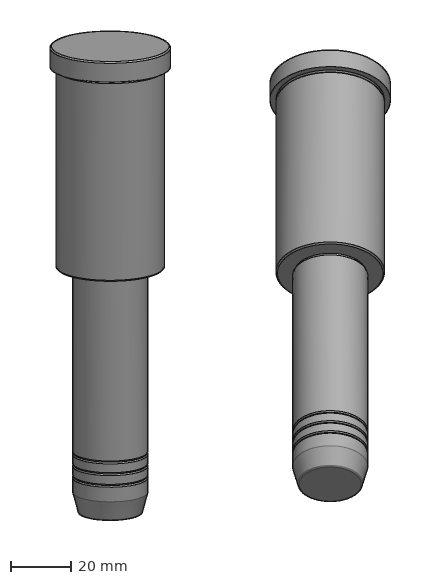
import cadquery as cq
import math

total_length = 160.0

head_diameter = 40.0
head_height = 7.0
head_chamfer = 0.5

body_diameter = 36.0
body_bottom_z = 84.0
body_chamfer = 0.5
body_relief_width = 1.0
body_relief_depth = 0.5

shaft_diameter = 25.0
shaft_relief_width = 1.0
shaft_relief_depth = 0.5

groove_count = 3
first_groove_z = 12.5
groove_pitch = 4.0
groove_width = 1.0
groove_depth = 0.3

lead_length = 7.0
lead_angle = 15.0
tip_fillet = 0.5


def cylinder(diameter, bottom_z, top_z):
    """Solid cylinder on the Z axis between two heights."""
    return cq.Workplane("XY").workplane(offset=bottom_z).circle(diameter / 2).extrude(top_z - bottom_z)


def ring_groove(diameter, depth, bottom_z, width):
    """Ring that cuts a square groove into a cylinder of the given diameter."""
    outer = cylinder(diameter + 2 * depth, bottom_z, bottom_z + width)
    core = cylinder(diameter - 2 * depth, bottom_z, bottom_z + width)
    return outer.cut(core)


def vee_groove(diameter, middle_z, width, depth):
    """Ring that cuts a V groove into a cylinder of the given diameter."""
    surface_radius = diameter / 2
    return (
        cq.Workplane("XZ")
        .moveTo(surface_radius - depth, middle_z)
        .lineTo(surface_radius, middle_z + width / 2)
        .lineTo(surface_radius + depth, middle_z + width / 2)
        .lineTo(surface_radius + depth, middle_z - width / 2)
        .lineTo(surface_radius, middle_z - width / 2)
        .close()
        .revolve(360, (0, 0), (0, 1))
    )


def make_head():
    head = cylinder(head_diameter, total_length - head_height, total_length)
    return head.faces(">Z").chamfer(head_chamfer)


def make_body():
    head_bottom_z = total_length - head_height
    relief_middle_z = head_bottom_z - body_relief_width / 2
    body = cylinder(body_diameter, body_bottom_z, head_bottom_z)
    body = body.faces("<Z").chamfer(body_chamfer)
    return body.cut(vee_groove(body_diameter, relief_middle_z, body_relief_width, body_relief_depth))


def make_lead():
    """Truncated cone narrowing to the tip, with its lower edge rounded."""
    shaft_radius = shaft_diameter / 2
    tip_radius = shaft_radius - lead_length * math.tan(math.radians(lead_angle))
    lead = (
        cq.Workplane("XZ")
        .lineTo(tip_radius, 0)
        .lineTo(shaft_radius, lead_length)
        .lineTo(0, lead_length)
        .close()
        .revolve(360, (0, 0), (0, 1))
    )
    return lead.faces("<Z").fillet(tip_fillet)


def make_shaft():
    shaft = cylinder(shaft_diameter, lead_length, body_bottom_z)
    relief_bottom_z = body_bottom_z - shaft_relief_width
    shaft = shaft.cut(ring_groove(shaft_diameter, shaft_relief_depth, relief_bottom_z, shaft_relief_width))
    for index in range(groove_count):
        middle_z = first_groove_z + index * groove_pitch
        shaft = shaft.cut(vee_groove(shaft_diameter, middle_z, groove_width, groove_depth))
    return shaft


result = make_head().union(make_body()).union(make_shaft()).union(make_lead())